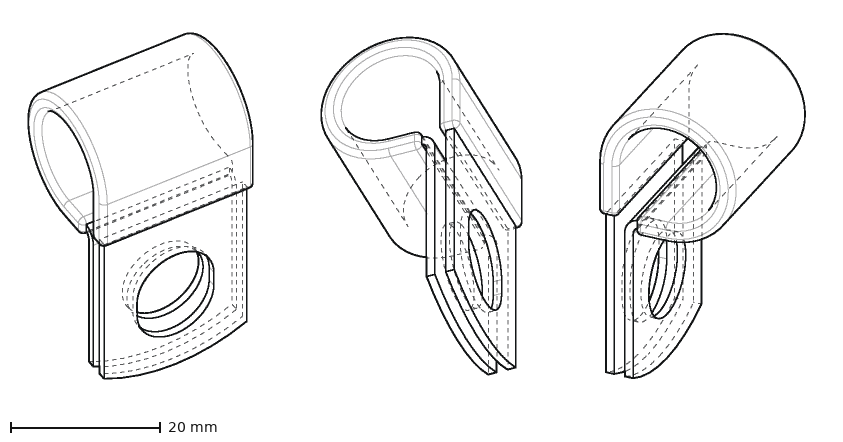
import cadquery as cq
import math


bore_radius = 7.15
strap_thickness = 1.208
strap_width = 22.225
cushion_cover = 0.794
right_leg_drop = 7.938
bottom_leg_reach = 4.5
tail_gap = 1.575
bend_inner_radius = 1.07
tail_end = 34.925
tail_end_radius = 25.4
bolt_hole_drop = 22.225
bolt_hole_diameter = 11.906
slot_length = 14.288

strap_inner_radius = bore_radius + cushion_cover
strap_outer_radius = strap_inner_radius + strap_thickness
cushion_outer_radius = strap_outer_radius + cushion_cover
cushion_width = strap_width + 2 * cushion_cover
inner_tail_right = strap_inner_radius - tail_gap
inner_tail_left = inner_tail_right - strap_thickness
bend_outer_radius = bend_inner_radius + strap_thickness
bend_x = inner_tail_left - bend_inner_radius
bend_z = -strap_inner_radius - bend_outer_radius
end_corner_drop = tail_end_radius - math.sqrt(tail_end_radius**2 - (strap_width / 2)**2)
hole_overrun = tail_gap / 2
diagonal = math.sqrt(0.5)


def upper_left_point(radius):
    """Midpoint of the three-quarter loop at the given radius."""
    return (-radius * diagonal, radius * diagonal)


def extrude_centred(profile, width):
    """Extrude an XZ profile equally to both sides of the Y = 0 plane."""
    return profile.extrude(width / 2, both=True)


def make_cushion():
    """J-shaped cushion with every outside edge rounded."""
    profile = (
        cq.Workplane("XZ")
        .moveTo(cushion_outer_radius, -right_leg_drop)
        .lineTo(cushion_outer_radius, 0)
        .threePointArc(upper_left_point(cushion_outer_radius), (0, -cushion_outer_radius))
        .lineTo(bottom_leg_reach, -cushion_outer_radius)
        .lineTo(bottom_leg_reach, -bore_radius)
        .lineTo(0, -bore_radius)
        .threePointArc(upper_left_point(bore_radius), (bore_radius, 0))
        .lineTo(bore_radius, -right_leg_drop)
        .close()
    )
    body = extrude_centred(profile, cushion_width)
    right_leg_corners = [
        (cushion_outer_radius, 0, -right_leg_drop),
        (bore_radius, 0, -right_leg_drop),
    ]
    bottom_leg_corners = [
        (bottom_leg_reach, 0, -cushion_outer_radius),
        (bottom_leg_reach, 0, -bore_radius),
    ]
    edges = body.faces("<Y or >Y").edges()
    for corner in right_leg_corners + bottom_leg_corners:
        edges = edges.add(body.edges(cq.selectors.NearestToPointSelector(corner)))
    return edges.fillet(cushion_cover)


def make_strap():
    """Strap loop with a straight outer tail and an inner tail bent down from the lower leg."""
    bend_outer_mid = (bend_x + bend_outer_radius * diagonal, bend_z + bend_outer_radius * diagonal)
    bend_inner_mid = (bend_x + bend_inner_radius * diagonal, bend_z + bend_inner_radius * diagonal)
    profile = (
        cq.Workplane("XZ")
        .moveTo(strap_outer_radius, -tail_end)
        .lineTo(strap_outer_radius, 0)
        .threePointArc(upper_left_point(strap_outer_radius), (0, -strap_outer_radius))
        .lineTo(bend_x, -strap_outer_radius)
        .threePointArc(bend_inner_mid, (inner_tail_left, bend_z))
        .lineTo(inner_tail_left, -tail_end)
        .lineTo(inner_tail_right, -tail_end)
        .lineTo(inner_tail_right, bend_z)
        .threePointArc(bend_outer_mid, (bend_x, -strap_inner_radius))
        .lineTo(0, -strap_inner_radius)
        .threePointArc(upper_left_point(strap_inner_radius), (strap_inner_radius, 0))
        .lineTo(strap_inner_radius, -tail_end)
        .close()
    )
    return extrude_centred(profile, strap_width).intersect(make_strap_outline())


def make_strap_outline():
    """Block whose YZ outline gives the tails their curved lower end."""
    half_width = strap_width / 2
    corner_z = end_corner_drop - tail_end
    return (
        cq.Workplane("YZ")
        .moveTo(-half_width, strap_outer_radius)
        .lineTo(-half_width, corner_z)
        .threePointArc((0, -tail_end), (half_width, corner_z))
        .lineTo(half_width, strap_outer_radius)
        .close()
        .extrude(cushion_outer_radius, both=True)
    )


def make_inner_tail_hole():
    """Round bolt hole cutter, ending midway between the two tails."""
    return (
        cq.Workplane("YZ", origin=(inner_tail_left - hole_overrun, 0, -bolt_hole_drop))
        .circle(bolt_hole_diameter / 2)
        .extrude(strap_thickness + 2 * hole_overrun)
    )


def make_outer_tail_slot():
    """Upright slot cutter, as wide as the bolt hole and centred on it."""
    return (
        cq.Workplane("YZ", origin=(strap_inner_radius - hole_overrun, 0, -bolt_hole_drop))
        .slot2D(slot_length, bolt_hole_diameter, 90)
        .extrude(strap_thickness + 2 * hole_overrun)
    )


strap = make_strap().cut(make_inner_tail_hole()).cut(make_outer_tail_slot())
result = make_cushion().union(strap)